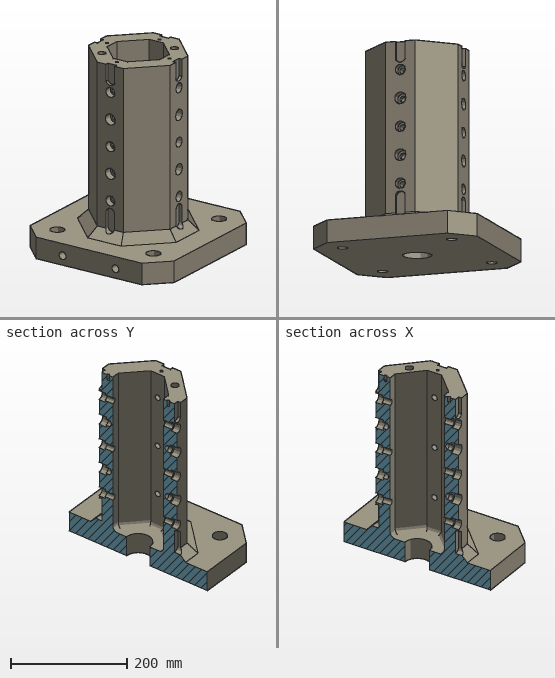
import cadquery as cq
import math

PLATE_WIDTH = 300.0
PLATE_THICKNESS = 40.0
PLATE_CORNER_CUT = 40.0
TOTAL_HEIGHT = 360.0

COLUMN_ACROSS_AXES = 170.0
COLUMN_ACROSS_DIAGONALS = 158.8
WALL = 30.2
FLOOR_FILLET = 10.0
FLOOR_HOLE_DIAMETER = 50.0
SKIRT = 18.0

MOUNT_HOLE_OFFSET = 100.0
MOUNT_HOLE_DIAMETER = 18.0
MOUNT_BORE_DIAMETER = 26.0
MOUNT_BORE_DEPTH = 18.0
EDGE_HOLE_OFFSET = 55.0
EDGE_HOLE_HEIGHT = 17.5
EDGE_HOLE_DEPTH = 28.8

LIFT_HOLE_OFFSET = 45.0
LIFT_HOLE_DEPTH = 28.8
THREAD_HOLE_DIAMETER = 14.0
PIN_HOLE_RADIUS_FROM_AXIS = 65.0
PIN_HOLE_DIAMETER = 5.0
PIN_HOLE_DEPTH = 10.0

SIDE_HOLE_PITCH = 50.0
SIDE_HOLE_COUNT = 5
THROUGH_HOLE_DIAMETER = 10.8
THROUGH_BORE_DIAMETER = 18.0
THROUGH_BORE_DEPTH = 13.0
BLIND_HOLE_DIAMETER = 12.0
BLIND_BORE_DIAMETER = 20.0
BLIND_BORE_DEPTH = 15.0
BLIND_HOLE_DEPTH = 23.5
DRILL_POINT_ANGLE = 118.0

KEYWAY_WIDTH = 18.0
KEYWAY_DEPTH = 6.0
UPPER_KEYWAY_LENGTH = 37.0
UPPER_KEYWAY_END_RADIUS = 10.0
LOWER_KEYWAY_BOTTOM = 51.0
LOWER_KEYWAY_TOP = 96.0

SIDE_ANGLES = (0, 90, 180, 270)


def octagon(across_axes, across_diagonals, z):
    """Eight-sided outline at height z, given by its two across-flats sizes."""
    a = across_axes / 2
    c = across_diagonals / math.sqrt(2) - a
    points = [(a, -c), (a, c), (c, a), (-c, a), (-a, c), (-a, -c), (-c, -a), (c, -a)]
    return cq.Workplane("XY").workplane(offset=z).polyline(points).close()


def drilled_hole(diameter, depth):
    """Blind hole going down from the origin, ending in a drill point below the given depth."""
    radius = diameter / 2
    tip = depth + radius / math.tan(math.radians(DRILL_POINT_ANGLE / 2))
    profile = [(0, 0), (radius, 0), (radius, -depth), (0, -tip)]
    return cq.Workplane("XZ").polyline(profile).close().revolve(360, (0, 0), (0, 1))


def plain_hole(diameter, depth):
    """Flat-bottomed hole going down from the origin."""
    return cq.Workplane("XY").circle(diameter / 2).extrude(-depth)


def make_body():
    plate = (
        cq.Workplane("XY")
        .box(PLATE_WIDTH, PLATE_WIDTH, PLATE_THICKNESS, centered=(True, True, False))
        .edges("|Z")
        .chamfer(PLATE_CORNER_CUT)
    )
    column = octagon(COLUMN_ACROSS_AXES, COLUMN_ACROSS_DIAGONALS, PLATE_THICKNESS).extrude(
        TOTAL_HEIGHT - PLATE_THICKNESS
    )
    skirt = octagon(
        COLUMN_ACROSS_AXES + 2 * SKIRT, COLUMN_ACROSS_DIAGONALS + 2 * SKIRT, PLATE_THICKNESS
    ).extrude(SKIRT, taper=45)
    return plate.union(column).union(skirt)


def make_cavity():
    """Inside of the column, standing on the plate, with the hole through its floor."""
    cavity = (
        octagon(COLUMN_ACROSS_AXES - 2 * WALL, COLUMN_ACROSS_DIAGONALS - 2 * WALL, PLATE_THICKNESS)
        .extrude(TOTAL_HEIGHT - PLATE_THICKNESS)
        .faces("<Z")
        .edges()
        .fillet(FLOOR_FILLET)
    )
    floor_hole = cq.Workplane("XY").circle(FLOOR_HOLE_DIAMETER / 2).extrude(PLATE_THICKNESS)
    return cavity.union(floor_hole)


def cut_plate_holes(body):
    mount_hole = plain_hole(MOUNT_HOLE_DIAMETER, PLATE_THICKNESS).union(
        plain_hole(MOUNT_BORE_DIAMETER, MOUNT_BORE_DEPTH)
    )
    for x in (-MOUNT_HOLE_OFFSET, MOUNT_HOLE_OFFSET):
        for y in (-MOUNT_HOLE_OFFSET, MOUNT_HOLE_OFFSET):
            body = body.cut(mount_hole.translate((x, y, PLATE_THICKNESS)))

    edge_hole = drilled_hole(THREAD_HOLE_DIAMETER, EDGE_HOLE_DEPTH).rotate((0, 0, 0), (1, 0, 0), 90)
    for x in (-EDGE_HOLE_OFFSET, EDGE_HOLE_OFFSET):
        body = body.cut(edge_hole.translate((x, -PLATE_WIDTH / 2, EDGE_HOLE_HEIGHT)))
    return body


def cut_rim_holes(body):
    lift_hole = drilled_hole(THREAD_HOLE_DIAMETER, LIFT_HOLE_DEPTH)
    for offset in (-LIFT_HOLE_OFFSET, LIFT_HOLE_OFFSET):
        body = body.cut(lift_hole.translate((offset, offset, TOTAL_HEIGHT)))

    pin_hole = drilled_hole(PIN_HOLE_DIAMETER, PIN_HOLE_DEPTH)
    pin_hole = pin_hole.translate((PIN_HOLE_RADIUS_FROM_AXIS, 0, TOTAL_HEIGHT))
    for angle in SIDE_ANGLES:
        body = body.cut(pin_hole.rotate((0, 0, 0), (0, 0, 1), angle))
    return body


def keyway_plane():
    """Sketch plane on the keyway floor of the -Y side, its vertical coordinate being the height Z."""
    return cq.Workplane("XZ", origin=(0, -COLUMN_ACROSS_AXES / 2 + KEYWAY_DEPTH, 0))


def upper_keyway():
    """Slot open at the rim, closed below by a shallow arc."""
    half_width = KEYWAY_WIDTH / 2
    arc_bottom = TOTAL_HEIGHT - UPPER_KEYWAY_LENGTH
    arc_rise = UPPER_KEYWAY_END_RADIUS - math.sqrt(UPPER_KEYWAY_END_RADIUS**2 - half_width**2)
    return (
        keyway_plane()
        .moveTo(-half_width, TOTAL_HEIGHT)
        .lineTo(-half_width, arc_bottom + arc_rise)
        .threePointArc((0, arc_bottom), (half_width, arc_bottom + arc_rise))
        .lineTo(half_width, TOTAL_HEIGHT)
        .close()
        .extrude(KEYWAY_DEPTH)
    )


def lower_keyway():
    """Slot with two half-round ends; it reaches out far enough to cut into the skirt."""
    return (
        keyway_plane()
        .center(0, (LOWER_KEYWAY_BOTTOM + LOWER_KEYWAY_TOP) / 2)
        .slot2D(LOWER_KEYWAY_TOP - LOWER_KEYWAY_BOTTOM, KEYWAY_WIDTH, 90)
        .extrude(KEYWAY_DEPTH + SKIRT)
    )


def make_side_cutters():
    """All cuts of one narrow side, placed on the -Y side."""
    through_hole = plain_hole(THROUGH_HOLE_DIAMETER, 2 * WALL).union(
        plain_hole(THROUGH_BORE_DIAMETER, THROUGH_BORE_DEPTH)
    )
    blind_hole = drilled_hole(BLIND_HOLE_DIAMETER, BLIND_HOLE_DEPTH).union(
        plain_hole(BLIND_BORE_DIAMETER, BLIND_BORE_DEPTH)
    )
    cutters = [upper_keyway(), lower_keyway()]
    for i in range(SIDE_HOLE_COUNT):
        hole = through_hole if i % 2 == 0 else blind_hole
        z = TOTAL_HEIGHT - (i + 1) * SIDE_HOLE_PITCH
        cutters.append(
            hole.rotate((0, 0, 0), (1, 0, 0), 90).translate((0, -COLUMN_ACROSS_AXES / 2, z))
        )
    return cutters


def cut_sides(body):
    for cutter in make_side_cutters():
        for angle in SIDE_ANGLES:
            body = body.cut(cutter.rotate((0, 0, 0), (0, 0, 1), angle))
    return body


result = make_body().cut(make_cavity())
result = cut_plate_holes(result)
result = cut_rim_holes(result)
result = cut_sides(result)